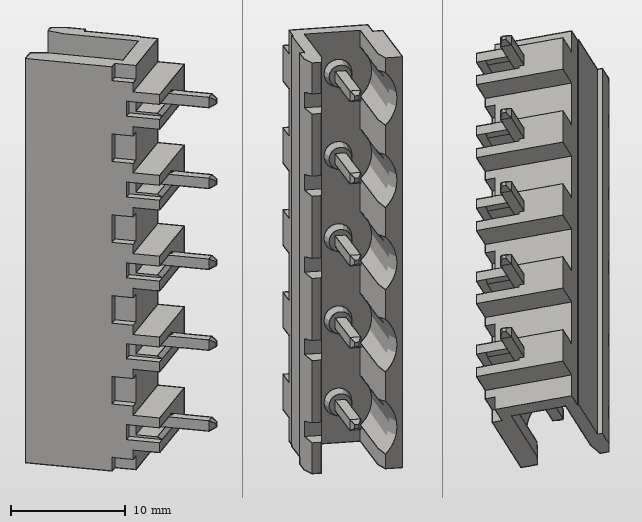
import cadquery as cq

pin_count = 5
length = 37.5
pitch = length / pin_count
pin_heights = [pitch * (i + 0.5) for i in range(pin_count)]
boundary_heights = [pitch * i for i in range(pin_count + 1)]

cavity_floor_x = 8.3
base_end_x = 9.75
tooth_end_x = 12.15
base_top_y = 7.95
total_width = 8.5
lower_inner_y = 1.9
lower_tip_y = 1.55
upper_inner_y = 6.9
upper_tip_inner_y = 7.28
upper_tip_outer_y = 8.1
upper_outer_y = 8.05
upper_step_x = 8.18
bevel_length = 1.3
inner_bevel_length = 1.55
hook_end_x = 3.08

pin_y = 3.9
pin_size = 0.98
pin_start_x = 0.9
pin_end_x = 16.2
pin_point_length = 0.55
pin_point_size = 0.38

collar_front_x = 7.28
collar_front_radius = 1.0
collar_base_radius = 1.25

scallop_mouth_radius = 3.38
scallop_radius = 3.0

notch_depth = 1.25
notch_floor_width = 1.4
notch_mouth_width = 1.85

tooth_width = 3.22
slot_start_x = 9.15
slot_width = 1.4
slot_depth = 0.85
slot_mouth_length = 0.45
recess_start_x = 7.85
recess_width = 2.55
recess_depth = 0.9


def block(x_range, y_range, z_center, z_size):
    """Box between two X and two Y limits, centred at a height."""
    return (
        cq.Workplane("XY")
        .box(x_range[1] - x_range[0], y_range[1] - y_range[0], z_size, centered=(False, False, True))
        .translate((x_range[0], y_range[0], z_center))
    )


def make_shroud():
    profile = [
        (0, 0),
        (base_end_x, 0),
        (base_end_x, base_top_y),
        (upper_step_x, base_top_y),
        (upper_step_x, upper_outer_y),
        (hook_end_x, upper_outer_y),
        (hook_end_x, total_width),
        (bevel_length, total_width),
        (0, upper_tip_outer_y),
        (0, upper_tip_inner_y),
        (inner_bevel_length, upper_inner_y),
        (cavity_floor_x, upper_inner_y),
        (cavity_floor_x, lower_inner_y),
        (bevel_length, lower_inner_y),
        (0, lower_tip_y),
    ]
    return cq.Workplane("XY").polyline(profile).close().extrude(length)


def make_scallop(z):
    """Bore with a conical mouth, running along X to the cavity floor."""
    profile = [
        (0, pin_y),
        (0, pin_y - scallop_mouth_radius),
        (bevel_length, pin_y - scallop_radius),
        (cavity_floor_x, pin_y - scallop_radius),
        (cavity_floor_x, pin_y),
    ]
    bore = cq.Workplane("XY").polyline(profile).close().revolve(360, (0, pin_y), (1, pin_y))
    lower_half = block((0, cavity_floor_x), (0, pin_y), 0, pitch)
    return bore.intersect(lower_half).translate((0, 0, z))


def make_latch_notch(z):
    """Notch with flared sides across the tip of the upper wall."""
    profile = [
        (0, z - notch_mouth_width / 2),
        (notch_depth, z - notch_floor_width / 2),
        (notch_depth, z + notch_floor_width / 2),
        (0, z + notch_mouth_width / 2),
    ]
    return (
        cq.Workplane("XZ", origin=(0, total_width, 0))
        .polyline(profile)
        .close()
        .extrude(total_width - pin_y)
    )


def make_tooth(z):
    return block((base_end_x, tooth_end_x), (0, base_top_y), z, tooth_width)


def make_slot(z):
    """Wide shallow slot, then a pin-wide slot with a flared mouth down to the pin."""
    wide = block((slot_start_x, tooth_end_x), (0, slot_depth), z, slot_width)
    profile = [
        (base_end_x, z - pin_size / 2),
        (tooth_end_x - slot_mouth_length, z - pin_size / 2),
        (tooth_end_x, z - slot_width / 2),
        (tooth_end_x, z + slot_width / 2),
        (tooth_end_x - slot_mouth_length, z + pin_size / 2),
        (base_end_x, z + pin_size / 2),
    ]
    narrow = cq.Workplane("XZ").polyline(profile).close().extrude(-pin_y)
    return wide.union(narrow)


def make_recess(z):
    return block((recess_start_x, base_end_x), (0, recess_depth), z, recess_width)


def make_pin(z):
    """Square pin along X with a blunt pyramid at both ends."""
    shank_start_x = pin_start_x + pin_point_length
    shank_end_x = pin_end_x - pin_point_length
    half = pin_size / 2
    pin = block((shank_start_x, shank_end_x), (pin_y - half, pin_y + half), z, pin_size)
    for shank_x, tip_x in ((shank_start_x, pin_start_x), (shank_end_x, pin_end_x)):
        point = (
            cq.Workplane("YZ", origin=(shank_x, pin_y, z))
            .rect(pin_size, pin_size)
            .workplane(offset=tip_x - shank_x)
            .rect(pin_point_size, pin_point_size)
            .loft(ruled=True)
        )
        pin = pin.union(point)
    return pin


def make_collar(z):
    profile = [
        (collar_front_x, pin_y),
        (collar_front_x, pin_y + collar_front_radius),
        (cavity_floor_x, pin_y + collar_base_radius),
        (cavity_floor_x, pin_y),
    ]
    collar = cq.Workplane("XY").polyline(profile).close().revolve(360, (0, pin_y), (1, pin_y))
    return collar.translate((0, 0, z))


result = make_shroud()
for height in boundary_heights:
    result = result.cut(make_recess(height))
for height in pin_heights:
    result = result.union(make_tooth(height))
    result = result.cut(make_slot(height))
    result = result.cut(make_scallop(height))
    result = result.cut(make_latch_notch(height))
    result = result.union(make_collar(height))
    result = result.union(make_pin(height))